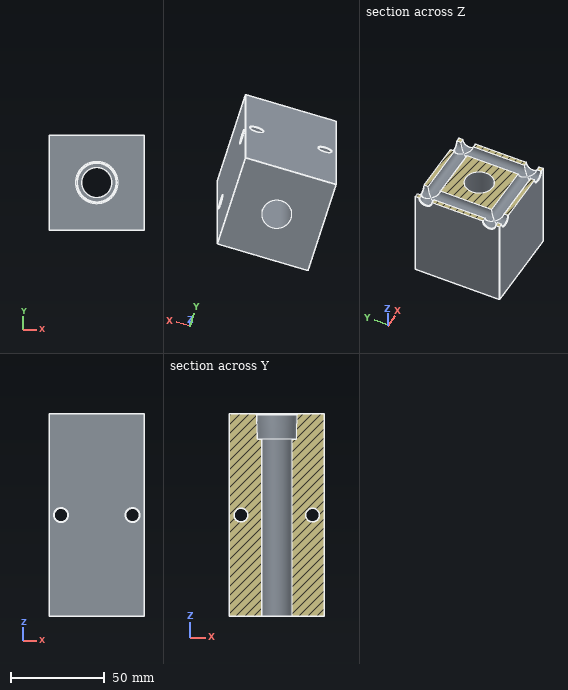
import cadquery as cq

width = 50.8
height = 107.95
edge_chamfer = 0.254

passage_diameter = 15.875
port_depth = 13.556
port_top_diameter = 21.336
port_taper = 1 / 16
port_mouth_diameter = 22.6
port_chamfer = (port_mouth_diameter - port_top_diameter) / 2
port_bottom_diameter = port_top_diameter - port_taper * (port_depth - port_chamfer)

hole_diameter = 7.14
hole_chamfer = 0.4
hole_spacing = 38.1
hole_offset = hole_spacing / 2


def make_block():
    """Square block centred on the Z axis, with all its edges broken."""
    block = cq.Workplane("XY").box(width, width, height)
    return block.edges().chamfer(edge_chamfer)


def make_passage():
    """Revolved cutter: straight passage, tapered port and chamfered mouth."""
    top = height / 2
    return (
        cq.Workplane("XZ")
        .moveTo(0, -top)
        .lineTo(passage_diameter / 2, -top)
        .lineTo(passage_diameter / 2, top - port_depth)
        .lineTo(port_bottom_diameter / 2, top - port_depth)
        .lineTo(port_top_diameter / 2, top - port_chamfer)
        .lineTo(port_mouth_diameter / 2, top)
        .lineTo(0, top)
        .close()
        .revolve(360, (0, 0, 0), (0, 1, 0))
    )


def make_cross_hole():
    """Cutter along Y, as long as the block is wide, flared at both ends."""
    half_length = width / 2
    bore_radius = hole_diameter / 2
    mouth_radius = bore_radius + hole_chamfer
    return (
        cq.Workplane("XY")
        .moveTo(0, -half_length)
        .lineTo(mouth_radius, -half_length)
        .lineTo(bore_radius, -half_length + hole_chamfer)
        .lineTo(bore_radius, half_length - hole_chamfer)
        .lineTo(mouth_radius, half_length)
        .lineTo(0, half_length)
        .close()
        .revolve(360, (0, 0, 0), (0, 1, 0))
    )


result = make_block().cut(make_passage())
for side in (-1, 1):
    hole_along_y = make_cross_hole().translate((side * hole_offset, 0, 0))
    hole_along_x = hole_along_y.rotate((0, 0, 0), (0, 0, 1), 90)
    result = result.cut(hole_along_y).cut(hole_along_x)